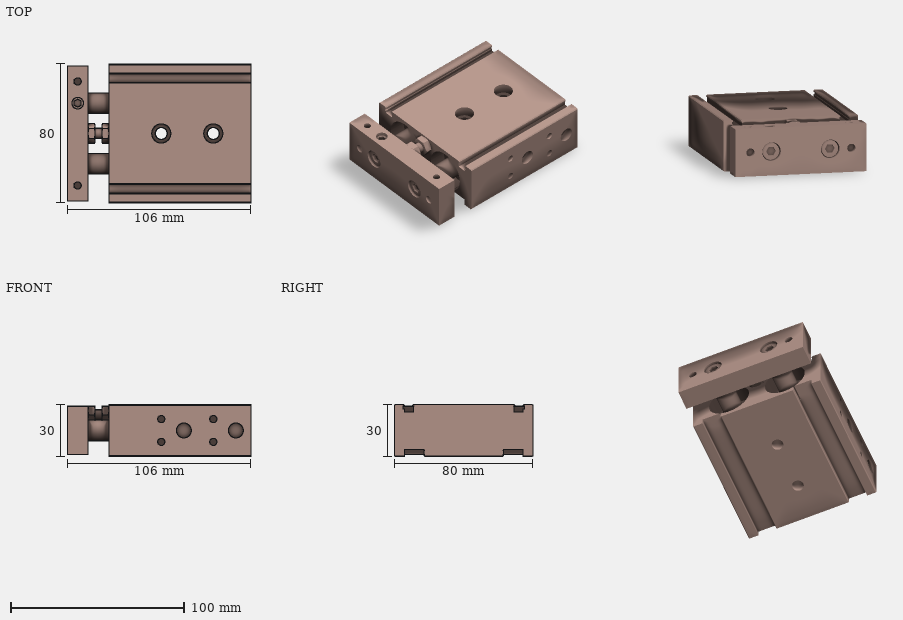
import cadquery as cq
import math


total_length = 106
plate_thickness = 12.0
plate_width = 78.0
plate_height = 28.0
stroke_gap = 12.0
housing_width = 80.0
housing_height = 30.0
housing_start = plate_thickness + stroke_gap
housing_length = total_length - housing_start
top_z = housing_height / 2

corner_chamfer = 0.5
sensor_slot_y = 31.9
slot_mouth_width = 4.8
slot_inner_width = 6.0
slot_lip_depth = 1.2
slot_ledge_depth = 2.6
slot_depth = 4.2
slot_chamfer = 0.5
relief_inner_y = 22.8
relief_outer_y = 34.1
relief_depth = 4.0
relief_chamfer = 0.4

hole_pitch = 30.0
mount_hole_x = 54.2
mount_hole_diameter = 6.8
mount_counterbore_diameter = 11.0
mount_counterbore_depth = 6.0
side_hole_diameter = 4.1
side_hole_depth = 6.0
side_hole_z = 6.6
port_x = 67.2
port_diameter = 8.6
port_depth = 5.0

rod_diameter = 12.0
rod_y = 17.5
recess_diameter = 25.0
recess_depth = 10.0

bolt_diameter = 6.0
bolt_z = 9.0
hex_across_flats = 10.0
hex_thickness = 4.0
hex_chamfer_angle = 30

end_hole_y = 30.0
front_hole_diameter = 4.9
top_hole_diameter = 4.1
top_hole_depth = 20.0
rod_screw_bore_diameter = 11.0
rod_screw_bore_depth = 6.0
rod_screw_head_diameter = 10.0
rod_screw_head_recess = 1.2
rod_screw_socket = 5.0
rod_screw_socket_depth = 2.0
set_screw_diameter = 6.7
set_screw_recess = 2.0
set_screw_socket = 4.0
set_screw_socket_depth = 2.0


def along_x(x, y, z):
    """Workplane at (x, y, z) whose normal points to +X and whose local x is +Y."""
    return cq.Workplane(cq.Plane(origin=(x, y, z), xDir=(0, 1, 0), normal=(1, 0, 0)))


def downward(x, y, z):
    """Workplane at (x, y, z) whose normal points to -Z."""
    return cq.Workplane(cq.Plane(origin=(x, y, z), xDir=(1, 0, 0), normal=(0, 0, -1)))


def inward(x, z):
    """Workplane on the -Y side of the housing whose normal points to +Y."""
    return cq.Workplane(cq.Plane(origin=(x, -housing_width / 2, z), xDir=(1, 0, 0), normal=(0, 1, 0)))


def cylinder(plane, diameter, length):
    return plane.circle(diameter / 2).extrude(length)


def hexagon(plane, across_flats, length):
    return plane.polygon(6, across_flats / math.cos(math.pi / 6)).extrude(length)


def hex_nut(x):
    """Nut blank with its corners turned down to a cone at both ends, flat side up."""
    corner_radius = hex_across_flats / math.sqrt(3)
    face_radius = hex_across_flats / 2
    drop = (corner_radius - face_radius) * math.tan(math.radians(hex_chamfer_angle))
    envelope = cylinder(along_x(x, 0, bolt_z), 2 * corner_radius, hex_thickness)
    envelope = envelope.faces("<X or >X").chamfer(drop, corner_radius - face_radius)
    return hexagon(along_x(x, 0, bolt_z), hex_across_flats, hex_thickness).intersect(envelope)


def sensor_slot(side):
    """Lipped slot with a ledge on its outer wall that runs the full length of the housing."""
    mouth_inner = sensor_slot_y - slot_mouth_width / 2
    mouth_outer = sensor_slot_y + slot_mouth_width / 2
    wall_inner = sensor_slot_y - slot_inner_width / 2
    wall_outer = sensor_slot_y + slot_inner_width / 2
    outline = [
        (mouth_inner - slot_chamfer, top_z),
        (mouth_inner, top_z - slot_chamfer),
        (mouth_inner, top_z - slot_lip_depth),
        (wall_inner, top_z - slot_lip_depth),
        (wall_inner, top_z - slot_depth),
        (mouth_outer, top_z - slot_depth),
        (mouth_outer, top_z - slot_ledge_depth),
        (wall_outer, top_z - slot_ledge_depth),
        (wall_outer, top_z - slot_lip_depth),
        (mouth_outer, top_z - slot_lip_depth),
        (mouth_outer, top_z - slot_chamfer),
        (mouth_outer + slot_chamfer, top_z),
    ]
    points = [(side * y, z) for y, z in outline]
    return along_x(housing_start, 0, 0).polyline(points).close().extrude(housing_length)


def bottom_relief(side):
    """Wide channel in the underside that runs the full length of the housing."""
    outline = [
        (relief_inner_y - relief_chamfer, -top_z),
        (relief_inner_y, relief_chamfer - top_z),
        (relief_inner_y, relief_depth - top_z),
        (relief_outer_y, relief_depth - top_z),
        (relief_outer_y, -top_z),
    ]
    points = [(side * y, z) for y, z in outline]
    return along_x(housing_start, 0, 0).polyline(points).close().extrude(housing_length)


def make_housing():
    housing = along_x(housing_start, 0, 0).rect(housing_width, housing_height).extrude(housing_length)
    housing = housing.edges("|X").chamfer(corner_chamfer)

    for side in (-1, 1):
        housing = housing.cut(sensor_slot(side))
        housing = housing.cut(bottom_relief(side))
        housing = housing.cut(cylinder(along_x(housing_start, side * rod_y, 0), recess_diameter, recess_depth))

    for step in range(2):
        shift = step * hole_pitch
        mount_x = mount_hole_x + shift
        top = downward(mount_x, 0, top_z)
        housing = housing.cut(cylinder(top, mount_counterbore_diameter, mount_counterbore_depth))
        housing = housing.cut(cylinder(top, mount_hole_diameter, housing_height))
        housing = housing.cut(cylinder(inward(port_x + shift, 0), port_diameter, port_depth))
        for z in (-side_hole_z, side_hole_z):
            housing = housing.cut(cylinder(inward(mount_x, z), side_hole_diameter, side_hole_depth))
    return housing


def add_rod_screw(plate, y):
    """Socket screw sunk into the front of the plate, in line with a guide rod."""
    head_length = rod_screw_bore_depth - rod_screw_head_recess
    head_plane = along_x(rod_screw_head_recess, y, 0)
    plate = plate.cut(cylinder(along_x(0, y, 0), rod_screw_bore_diameter, rod_screw_bore_depth))
    plate = plate.union(cylinder(head_plane, rod_screw_head_diameter, head_length))
    return plate.cut(hexagon(head_plane, rod_screw_socket, rod_screw_socket_depth))


def make_slide():
    """Tooling plate with the guide rods, screws, stop bolt and nut that move with it."""
    slide = along_x(0, 0, 0).rect(plate_width, plate_height).extrude(plate_thickness)
    middle_x = plate_thickness / 2
    plate_top = plate_height / 2
    front_hole_depth = middle_x - top_hole_diameter / 2

    for side in (-1, 1):
        slide = add_rod_screw(slide, side * rod_y)
        rod = cylinder(along_x(plate_thickness, side * rod_y, 0), rod_diameter, stroke_gap + recess_depth)
        slide = slide.union(rod)
        slide = slide.cut(cylinder(along_x(0, side * end_hole_y, 0), front_hole_diameter, front_hole_depth))
        slide = slide.cut(cylinder(downward(middle_x, side * end_hole_y, plate_top), top_hole_diameter, top_hole_depth))

    set_screw_top = plate_top - set_screw_recess
    slide = slide.cut(cylinder(downward(middle_x, rod_y, plate_top), set_screw_diameter, set_screw_recess))
    socket = hexagon(downward(middle_x, rod_y, set_screw_top), set_screw_socket, set_screw_socket_depth)
    socket = socket.rotate((middle_x, rod_y, 0), (middle_x, rod_y, 1), 90)
    slide = slide.cut(socket)

    slide = slide.union(cylinder(along_x(plate_thickness, 0, bolt_z), bolt_diameter, stroke_gap))
    for x in (plate_thickness, housing_start - hex_thickness):
        slide = slide.union(hex_nut(x))
    return slide


housing = make_housing()
slide = make_slide()
result = cq.Compound.makeCompound([housing.val(), slide.val()])